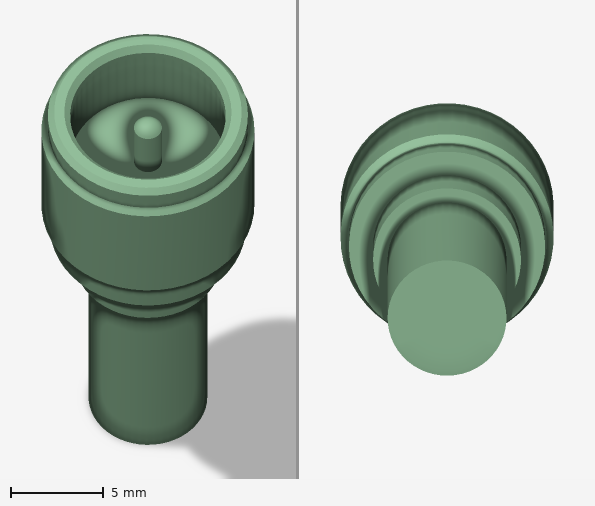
import cadquery as cq

total_height = 26.1

stem_radius = 3.2
neck_radius = 4.0
collar_radius = 5.3
sleeve_radius = 11.5 / 2
lip_radius = 5.4

stem_top = 12.7
neck_top = 15.63
collar_top = 17.23
sleeve_top = 24.75

sleeve_lower_chamfer_height = 0.42
sleeve_lower_chamfer_width = 0.37
sleeve_upper_chamfer_height = 0.31
lip_chamfer_height = 0.25
lip_chamfer_width = 0.35

socket_radius = 4.2
socket_depth = 4.46
mouth_radius = 4.52
mouth_depth = 0.35

pin_radius = 0.75
pin_shoulder_depth = 1.44
dome_height = 0.45

socket_floor = total_height - socket_depth
pin_shoulder = total_height - pin_shoulder_depth
pin_tip = pin_shoulder + dome_height

dome_sphere_radius = (pin_radius**2 + dome_height**2) / (2 * dome_height)
dome_mid_height = dome_height / 2
dome_mid_radius = (
    dome_sphere_radius**2 - (dome_sphere_radius - dome_height + dome_mid_height) ** 2
) ** 0.5

profile = (
    cq.Workplane("XZ")
    .moveTo(0, 0)
    .lineTo(stem_radius, 0)
    .lineTo(stem_radius, stem_top)
    .lineTo(neck_radius, stem_top)
    .lineTo(neck_radius, neck_top)
    .lineTo(collar_radius, neck_top)
    .lineTo(collar_radius, collar_top)
    .lineTo(sleeve_radius - sleeve_lower_chamfer_width, collar_top)
    .lineTo(sleeve_radius, collar_top + sleeve_lower_chamfer_height)
    .lineTo(sleeve_radius, sleeve_top - sleeve_upper_chamfer_height)
    .lineTo(lip_radius, sleeve_top)
    .lineTo(lip_radius, total_height - lip_chamfer_height)
    .lineTo(lip_radius - lip_chamfer_width, total_height)
    .lineTo(mouth_radius, total_height)
    .lineTo(socket_radius, total_height - mouth_depth)
    .lineTo(socket_radius, socket_floor)
    .lineTo(pin_radius, socket_floor)
    .lineTo(pin_radius, pin_shoulder)
    .threePointArc((dome_mid_radius, pin_shoulder + dome_mid_height), (0, pin_tip))
    .close()
)

result = profile.revolve(360, (0, 0, 0), (0, 1, 0))